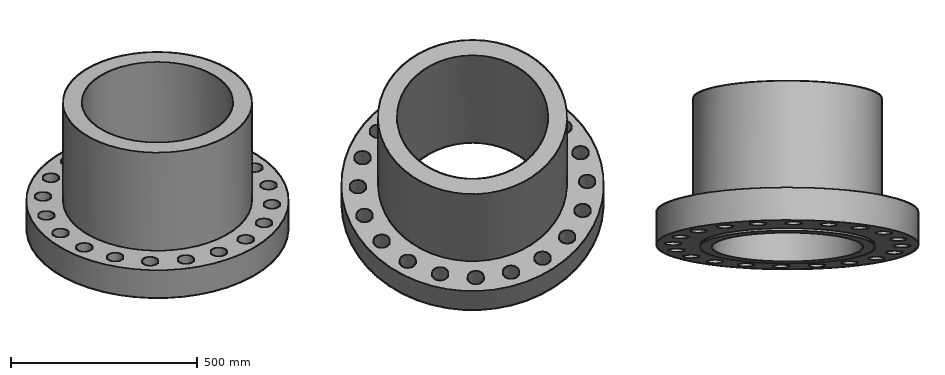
import cadquery as cq

INCH = 25.4

overall_height = 16.0 * INCH
bore_diameter = 16.0 * INCH
neck_diameter = 20.0 * INCH
flange_diameter = 27.75 * INCH
flange_thickness = 3.5 * INCH
raised_face_diameter = 18.5 * INCH
raised_face_height = 0.25 * INCH

bolt_count = 20
bolt_circle_diameter = 24.25 * INCH
bolt_hole_diameter = 1.75 * INCH

flange_bottom = raised_face_height
flange_top = flange_bottom + flange_thickness


def disc(diameter, bottom, top):
    """Solid cylinder on the Z axis between two heights."""
    return cq.Workplane("XY").workplane(offset=bottom).circle(diameter / 2).extrude(top - bottom)


def bolt_holes():
    """Ring of through-hole cutters, the first one on the +X axis."""
    return (
        cq.Workplane("XY")
        .workplane(offset=flange_bottom)
        .polarArray(bolt_circle_diameter / 2, 0, 360, bolt_count)
        .circle(bolt_hole_diameter / 2)
        .extrude(flange_thickness)
    )


raised_face = disc(raised_face_diameter, 0, flange_bottom)
flange = disc(flange_diameter, flange_bottom, flange_top).cut(bolt_holes())
neck = disc(neck_diameter, flange_top, overall_height)
bore = disc(bore_diameter, 0, overall_height)

result = raised_face.union(flange).union(neck).cut(bore)